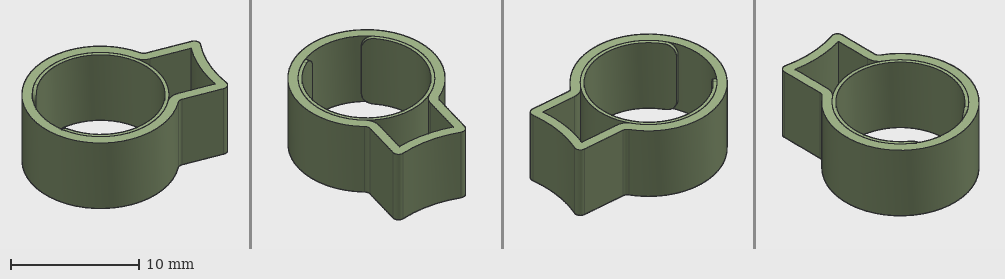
import cadquery as cq
import math

total_length = 15.82
height = 6.5

ring_radius = 12.3 / 2
wall = 0.8
bore_radius = ring_radius - wall
ear_width = 6.5
ear_center_x = -0.25
ear_corner_radius = 0.5
neck_radius = 0.5
ear_outer_arc_radius = 9.87

liner_thickness = 0.3
liner_gap_half_angle = 26.0
liner_corner_radius = 1.0

ear_half_width = ear_width / 2
ear_top_y = total_length - ring_radius
ear_arc_center_y = ear_top_y - ear_corner_radius + math.sqrt(
    (ear_outer_arc_radius + ear_corner_radius) ** 2 - (ear_half_width - ear_corner_radius) ** 2
)


def ring_with_ear(radius, half_width, end_arc_radius, neck_fillet):
    """Solid disc and ear with a concave end and rounded necks where they join."""
    corner_y = ear_arc_center_y - math.sqrt(end_arc_radius**2 - half_width**2)
    left_x = ear_center_x - half_width
    right_x = ear_center_x + half_width
    ear = (
        cq.Workplane("XY")
        .moveTo(left_x, 0)
        .lineTo(left_x, corner_y)
        .threePointArc((ear_center_x, ear_arc_center_y - end_arc_radius), (right_x, corner_y))
        .lineTo(right_x, 0)
        .close()
        .extrude(height)
    )
    body = cq.Workplane("XY").circle(radius).extrude(height).union(ear)
    for side_x in (left_x, right_x):
        neck_y = math.sqrt(radius**2 - side_x**2)
        neck_point = (side_x, neck_y, height / 2)
        body = body.edges(cq.selectors.NearestToPointSelector(neck_point)).fillet(neck_fillet)
    return body


def make_housing():
    outside = ring_with_ear(ring_radius, ear_half_width, ear_outer_arc_radius, neck_radius)
    outside = outside.edges("|Z").edges(">Y").fillet(ear_corner_radius)
    inside = ring_with_ear(
        bore_radius, ear_half_width - wall, ear_outer_arc_radius + wall, neck_radius + wall
    )
    return outside.cut(inside)


def make_liner():
    ring = cq.Workplane("XY").circle(bore_radius).circle(bore_radius - liner_thickness).extrude(height)
    wedge_depth = 2 * bore_radius
    wedge_half_width = wedge_depth * math.tan(math.radians(liner_gap_half_angle))
    gap = (
        cq.Workplane("XY")
        .polyline([(0, 0), (-wedge_half_width, -wedge_depth), (wedge_half_width, -wedge_depth)])
        .close()
        .extrude(height)
    )
    return ring.cut(gap).edges("%LINE").edges("not |Z").fillet(liner_corner_radius)


housing = make_housing()
liner = make_liner()
result = cq.Compound.makeCompound([housing.solids().val(), liner.solids().val()])